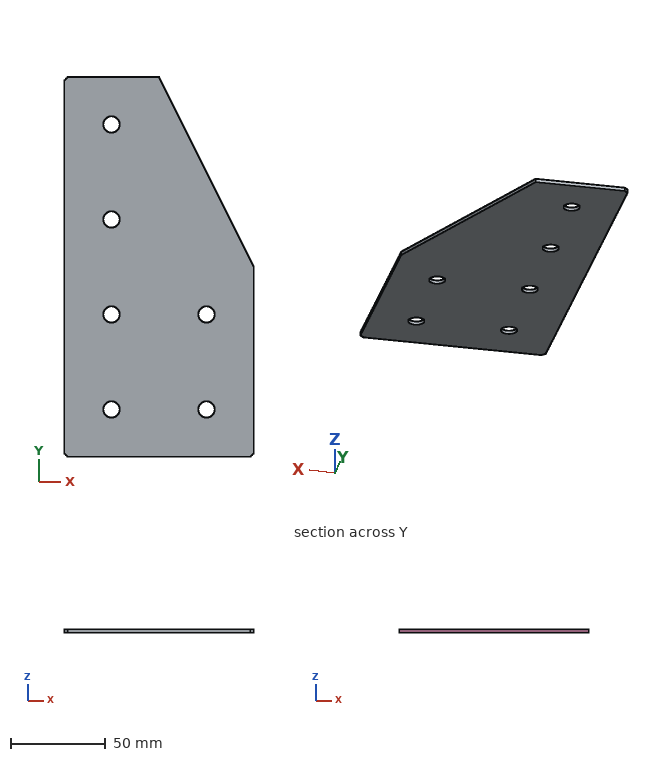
import cadquery as cq

pitch = 50.0
thickness = 2.0
hole_diameter = 8.5
corner_chamfer = 2.0

width = 2 * pitch
length = 4 * pitch
edge_distance = pitch / 2

holes_per_column = (4, 2)


def plate_blank():
    """Rectangle with its upper right corner cut off by a long slope."""
    outline = [
        (0, 0),
        (width, 0),
        (width, length / 2),
        (width / 2, length),
        (0, length),
    ]
    return cq.Workplane("XY").polyline(outline).close().extrude(thickness)


def chamfer_square_corners(plate):
    """Break the three right-angled corners of the plate."""
    for corner in [(0, 0), (width, 0), (0, length)]:
        edge = cq.selectors.NearestToPointSelector((*corner, thickness / 2))
        plate = plate.edges("|Z").edges(edge).chamfer(corner_chamfer)
    return plate


def hole_centers():
    return [
        (edge_distance + column * pitch, edge_distance + row * pitch)
        for column, count in enumerate(holes_per_column)
        for row in range(count)
    ]


def drill_holes(plate):
    holes = (
        cq.Workplane("XY")
        .pushPoints(hole_centers())
        .circle(hole_diameter / 2)
        .extrude(thickness)
    )
    return plate.cut(holes)


result = drill_holes(chamfer_square_corners(plate_blank()))